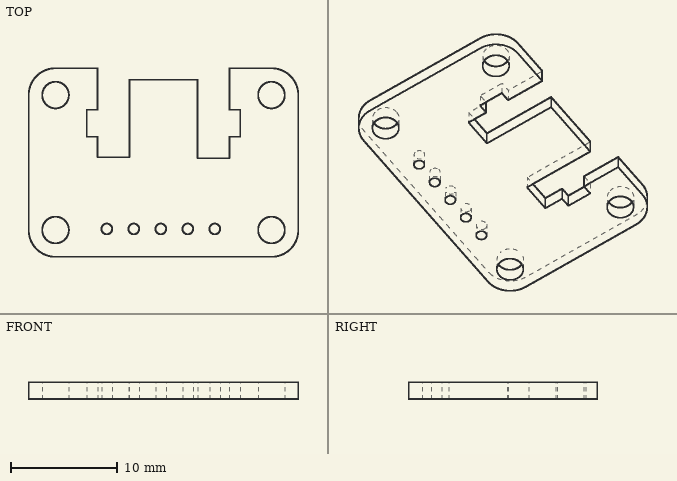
import cadquery as cq

length = 25.4
width = 17.78
thickness = 1.6
corner_radius = 2.55

mount_diameter = 2.5
mount_inset = 2.55
pin_diameter = 1.0
pin_count = 5
pin_pitch = 2.55
pin_row_center_x = -0.25
pin_row_inset = 2.65

opening_half_width = 6.2
tongue_half_width = 3.2
tongue_setback = 1.1
left_slot_depth = 8.38
right_slot_depth = 8.48

notch_half_span = 7.21
notch_front_depth = 6.45
notch_back_depth = 3.94

back_y = width / 2
front_y = -width / 2


def make_plate():
    plate = cq.Workplane("XY").box(length, width, thickness, centered=(True, True, False))
    return plate.edges("|Z").fillet(corner_radius)


def make_opening():
    """Outline of the back opening, traced from its left end around the tongue."""
    notch_front_y = back_y - notch_front_depth
    notch_back_y = back_y - notch_back_depth
    left_floor_y = back_y - left_slot_depth
    right_floor_y = back_y - right_slot_depth
    tongue_y = back_y - tongue_setback
    outline = [
        (-opening_half_width, back_y),
        (-opening_half_width, notch_back_y),
        (-notch_half_span, notch_back_y),
        (-notch_half_span, notch_front_y),
        (-opening_half_width, notch_front_y),
        (-opening_half_width, left_floor_y),
        (-tongue_half_width, left_floor_y),
        (-tongue_half_width, tongue_y),
        (tongue_half_width, tongue_y),
        (tongue_half_width, right_floor_y),
        (opening_half_width, right_floor_y),
        (opening_half_width, notch_front_y),
        (notch_half_span, notch_front_y),
        (notch_half_span, notch_back_y),
        (opening_half_width, notch_back_y),
        (opening_half_width, back_y),
    ]
    return cq.Workplane("XY").polyline(outline).close().extrude(thickness)


def make_holes(centers, diameter):
    return cq.Workplane("XY").pushPoints(centers).circle(diameter / 2).extrude(thickness)


mount_x = length / 2 - mount_inset
mount_y = width / 2 - mount_inset
mount_centers = [(x, y) for x in (-mount_x, mount_x) for y in (-mount_y, mount_y)]

first_pin_x = pin_row_center_x - pin_pitch * (pin_count - 1) / 2
pin_y = front_y + pin_row_inset
pin_centers = [(first_pin_x + i * pin_pitch, pin_y) for i in range(pin_count)]

result = (
    make_plate()
    .cut(make_opening())
    .cut(make_holes(mount_centers, mount_diameter))
    .cut(make_holes(pin_centers, pin_diameter))
)